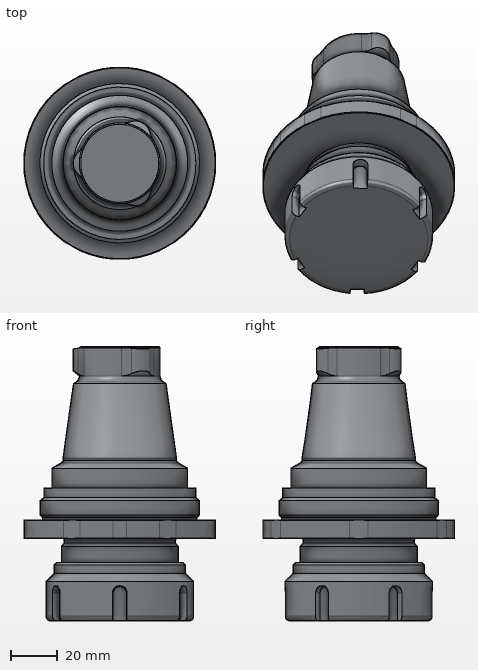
import cadquery as cq
import math

NUT_R = 63.0 / 2
NUT_EDGE_FILLET = 2.0
NUT_COLLAR_R = 56.0 / 2
NUT_CONE_TOP_Z = 20.3
NUT_CONE_BASE_Z = NUT_CONE_TOP_Z - (NUT_R - NUT_COLLAR_R)
NUT_TOP_Z = 25.0
NUT_TOP_CHAMFER = 1.1

SLOT_COUNT = 6
SLOT_FLOOR_WIDTH = 5.7
SLOT_FLOOR_TOP_Z = 14.7
SLOT_DRAFT = 5.0
SLOT_FLOOR_R = 28.0

STEM_R = 50.0 / 2
STEM_SHOULDER_Z = 31.7
STEM_NECK_R = 47.5 / 2
STEM_NECK_Z = 33.2
STEM_FLARE_Z = 34.3
STEM_FLARE_R = 24.0

FLANGE_R = 82.0 / 2
FLANGE_BASE_Z = 35.1
FLANGE_THICKNESS = 8.0
FLANGE_CHAMFER = 0.3
WIDE_FLAT_COUNT = 6
WIDE_FLAT_DISTANCE = 81.6 / 2
NARROW_FLAT_DISTANCE = 81.8 / 2
NARROW_FLAT_ANGLES = (90, 270)

GROOVE_R = 66.1 / 2
COLLAR_R = 68.0 / 2
COLLAR_BASE_Z = 45.1
COLLAR_TOP_Z = 51.3
STEP_R = 64.96 / 2
STEP_BASE_Z = 52.6
STEP_TOP_Z = 56.6
HUB_R = 58.0 / 2
HUB_TOP_Z = 65.1
HUB_CONE_SLOPE = 30.0
HUB_CONE_TOP_R = 25.0

UNDERCUT_ARC_R = 2.0
UNDERCUT_END_SLOPE = 70.0
TAPER_BASE_R = 48.5 / 2
TAPER_BASE_Z = 69.4
TAPER_HALF_ANGLE = 8.0
TAPER_TOP_Z = 101.2

NECK_R = 34.5 / 2
NECK_ARC_R = 3.0
NECK_ARC_SWEEP = 60.0

HEAD_BASE_Z = 104.5
TOTAL_HEIGHT = 117.0
HEAD_TOP_R = 33.31 / 2
HEAD_RIM_SLOPE = 40.0
LOBE_ANGLES = (60, 180, 300)
LOBE_REACH = 19.85
LOBE_TIP_R = 6.25
LOBE_BLEND_R = 12.5
TRIM_MARGIN = 1.0
LOBE_TOP_SLOPE = 11.0
LOBE_BOTTOM_SLOPE = 40.0


def tan_deg(angle):
    return math.tan(math.radians(angle))


def polar(radius, angle):
    """Point at a distance and an angle in radians from the origin."""
    return (radius * math.cos(angle), radius * math.sin(angle))


def arc_point_on_neck(sweep):
    """Point (radius, z) on the neck arc, swept down from the head by an angle in degrees."""
    angle = math.radians(sweep)
    return (
        NECK_R + NECK_ARC_R * (1 - math.cos(angle)),
        HEAD_BASE_Z - NECK_ARC_R * math.sin(angle),
    )


def hub_cone_top_z():
    """Height where the hub cone runs into the undercut arc."""
    return HUB_TOP_Z + (HUB_R - HUB_CONE_TOP_R) * tan_deg(HUB_CONE_SLOPE)


def undercut_end():
    """Upper end (radius, z) of the undercut arc, which starts tangent to the hub cone."""
    start = math.radians(HUB_CONE_SLOPE)
    end = math.radians(UNDERCUT_END_SLOPE)
    return (
        HUB_CONE_TOP_R - UNDERCUT_ARC_R * (math.sin(end) - math.sin(start)),
        hub_cone_top_z() + UNDERCUT_ARC_R * (math.cos(start) - math.cos(end)),
    )


def make_lower_body():
    """Nut, stem and stepped collars, turned about Z up to the undercut."""
    undercut_r, undercut_z = undercut_end()
    return (
        cq.Workplane("XZ")
        .moveTo(0, 0)
        .lineTo(NUT_R - NUT_EDGE_FILLET, 0)
        .radiusArc((NUT_R, NUT_EDGE_FILLET), -NUT_EDGE_FILLET)
        .lineTo(NUT_R, NUT_CONE_BASE_Z)
        .lineTo(NUT_COLLAR_R, NUT_CONE_TOP_Z)
        .lineTo(NUT_COLLAR_R, NUT_TOP_Z - NUT_TOP_CHAMFER)
        .lineTo(NUT_COLLAR_R - NUT_TOP_CHAMFER, NUT_TOP_Z)
        .lineTo(STEM_R, NUT_TOP_Z)
        .lineTo(STEM_R, STEM_SHOULDER_Z)
        .lineTo(STEM_NECK_R, STEM_NECK_Z)
        .lineTo(STEM_NECK_R, STEM_FLARE_Z)
        .lineTo(STEM_FLARE_R, FLANGE_BASE_Z)
        .lineTo(GROOVE_R, FLANGE_BASE_Z)
        .lineTo(GROOVE_R, COLLAR_BASE_Z - (COLLAR_R - GROOVE_R))
        .lineTo(COLLAR_R, COLLAR_BASE_Z)
        .lineTo(COLLAR_R, COLLAR_TOP_Z)
        .lineTo(STEP_R, STEP_BASE_Z)
        .lineTo(STEP_R, STEP_TOP_Z)
        .lineTo(HUB_R, STEP_TOP_Z)
        .lineTo(HUB_R, HUB_TOP_Z)
        .lineTo(HUB_CONE_TOP_R, hub_cone_top_z())
        .radiusArc((undercut_r, undercut_z), UNDERCUT_ARC_R)
        .lineTo(0, undercut_z)
        .close()
        .revolve(360, (0, 0, 0), (0, 1, 0))
    )


def make_shank():
    """Tapered shank and the curved neck below the head."""
    undercut_r, undercut_z = undercut_end()
    taper_top_r = TAPER_BASE_R - (TAPER_TOP_Z - TAPER_BASE_Z) * tan_deg(TAPER_HALF_ANGLE)
    return (
        cq.Workplane("XZ")
        .moveTo(0, undercut_z)
        .lineTo(undercut_r, undercut_z)
        .lineTo(TAPER_BASE_R, TAPER_BASE_Z)
        .lineTo(taper_top_r, TAPER_TOP_Z)
        .lineTo(*arc_point_on_neck(NECK_ARC_SWEEP))
        .threePointArc(arc_point_on_neck(NECK_ARC_SWEEP / 2), arc_point_on_neck(0))
        .lineTo(0, HEAD_BASE_Z)
        .close()
        .revolve(360, (0, 0, 0), (0, 1, 0))
    )


def make_flange():
    """Flange disc with wide flats every 60 degrees and a narrow flat at each Y end."""
    disc = (
        cq.Workplane("XY", origin=(0, 0, FLANGE_BASE_Z))
        .circle(FLANGE_R)
        .extrude(FLANGE_THICKNESS)
        .edges()
        .chamfer(FLANGE_CHAMFER)
    )
    step = 360 / WIDE_FLAT_COUNT
    for index in range(WIDE_FLAT_COUNT):
        disc = disc.cut(make_flat_cutter(WIDE_FLAT_DISTANCE, index * step))
    for angle in NARROW_FLAT_ANGLES:
        disc = disc.cut(make_flat_cutter(NARROW_FLAT_DISTANCE, angle))
    return disc


def make_flat_cutter(distance, angle):
    """Block whose inner face is a flat at a distance from the axis."""
    return (
        cq.Workplane("XY", origin=(0, 0, FLANGE_BASE_Z))
        .box(FLANGE_R, FLANGE_R, FLANGE_THICKNESS, centered=(False, True, False))
        .translate((distance, 0, 0))
        .rotate((0, 0, 0), (0, 0, 1), angle)
    )


def make_lobe():
    """Lobe prism on +X: a round tip with concave blends tangent to the round head."""
    tip_center = LOBE_REACH - LOBE_TIP_R
    blend_distance = NECK_R + LOBE_BLEND_R
    tip_to_blend = LOBE_TIP_R + LOBE_BLEND_R
    cos_angle = (blend_distance**2 + tip_center**2 - tip_to_blend**2) / (2 * blend_distance * tip_center)
    blend_angle = math.acos(cos_angle)
    root_x, root_y = polar(NECK_R, blend_angle)
    blend_x, blend_y = polar(blend_distance, blend_angle)
    share = LOBE_TIP_R / tip_to_blend
    seam_x = tip_center + (blend_x - tip_center) * share
    seam_y = blend_y * share
    return (
        cq.Workplane("XY", origin=(0, 0, HEAD_BASE_Z))
        .moveTo(0, 0)
        .lineTo(root_x, -root_y)
        .radiusArc((seam_x, -seam_y), LOBE_BLEND_R)
        .threePointArc((LOBE_REACH, 0), (seam_x, seam_y))
        .radiusArc((root_x, root_y), LOBE_BLEND_R)
        .close()
        .extrude(TOTAL_HEIGHT - HEAD_BASE_Z)
    )


def make_head():
    """Lobed pull head, with a bevelled rim and lobes sloped above and below."""
    head = cq.Workplane("XY", origin=(0, 0, HEAD_BASE_Z)).circle(NECK_R).extrude(TOTAL_HEIGHT - HEAD_BASE_Z)
    lobe = make_lobe()
    for angle in LOBE_ANGLES:
        head = head.union(lobe.rotate((0, 0, 0), (0, 0, 1), angle))
    trim_r = LOBE_REACH + TRIM_MARGIN
    rim_z = TOTAL_HEIGHT - (NECK_R - HEAD_TOP_R) * tan_deg(HEAD_RIM_SLOPE)
    envelope = (
        cq.Workplane("XZ")
        .moveTo(0, HEAD_BASE_Z)
        .lineTo(NECK_R, HEAD_BASE_Z)
        .lineTo(trim_r, HEAD_BASE_Z + (trim_r - NECK_R) * tan_deg(LOBE_BOTTOM_SLOPE))
        .lineTo(trim_r, rim_z - (trim_r - NECK_R) * tan_deg(LOBE_TOP_SLOPE))
        .lineTo(NECK_R, rim_z)
        .lineTo(HEAD_TOP_R, TOTAL_HEIGHT)
        .lineTo(0, TOTAL_HEIGHT)
        .close()
        .revolve(360, (0, 0, 0), (0, 1, 0))
    )
    return head.intersect(envelope)


def cut_wrench_slots(body):
    """Round-topped slots, open below, with flat floors and walls that widen outward; one faces -Y."""
    arch_r = SLOT_FLOOR_WIDTH / 2
    arch_z = SLOT_FLOOR_TOP_Z - arch_r
    slot = (
        cq.Workplane("XZ", origin=(0, -SLOT_FLOOR_R, 0))
        .moveTo(-arch_r, 0)
        .lineTo(arch_r, 0)
        .lineTo(arch_r, arch_z)
        .threePointArc((0, SLOT_FLOOR_TOP_Z), (-arch_r, arch_z))
        .close()
        .extrude(NUT_R - SLOT_FLOOR_R, taper=-SLOT_DRAFT)
    )
    for index in range(SLOT_COUNT):
        body = body.cut(slot.rotate((0, 0, 0), (0, 0, 1), index * 360 / SLOT_COUNT))
    return body


lower_body = cut_wrench_slots(make_lower_body())
result = lower_body.union(make_flange()).union(make_shank()).union(make_head())